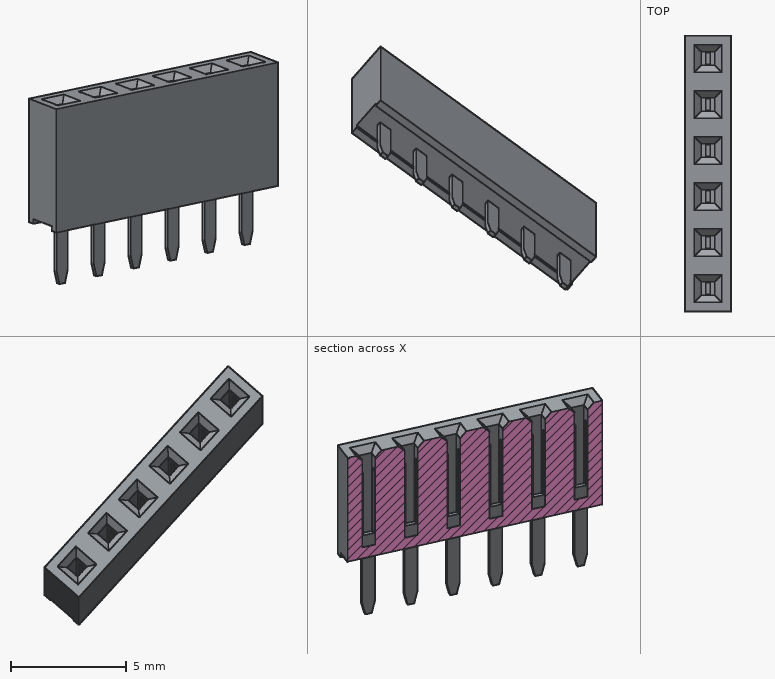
import cadquery as cq

contact_count = 6
housing_length = 12.0
housing_width = 2.0
housing_height = 5.6
pitch = housing_length / contact_count

foot_width = 0.34
channel_height = 0.22

socket_mouth = 1.2
socket_throat = 0.6
lead_in_depth = (socket_mouth - socket_throat) / 2
socket_depth = 4.8

contact_thickness = 0.19
contact_width = socket_throat
tail_tip_width = 0.3
tail_length = 2.7
tail_taper_length = 0.6
fork_gap = 0.5
fork_height = 3.84
fork_root_height = 0.6

channel_width = housing_width - 2 * foot_width
socket_floor = housing_height - socket_depth
fork_top = socket_floor + fork_height
fork_root = socket_floor + fork_root_height
contact_positions = [(i - (contact_count - 1) / 2) * pitch for i in range(contact_count)]


def make_housing():
    """Bar with the channel cut along its whole underside."""
    bar = cq.Workplane("XY").box(
        housing_width, housing_length, housing_height, centered=(True, True, False)
    )
    channel = cq.Workplane("XY").box(
        channel_width, housing_length, channel_height, centered=(True, True, False)
    )
    return bar.cut(channel)


def make_socket(y):
    """Volume removed for one socket: lead-in taper plus straight throat."""
    throat = (
        cq.Workplane("XY", origin=(0, y, socket_floor))
        .rect(socket_throat, socket_throat)
        .extrude(socket_depth)
    )
    lead_in = (
        cq.Workplane("XY", origin=(0, y, housing_height))
        .rect(socket_mouth, socket_mouth)
        .workplane(offset=-lead_in_depth)
        .rect(socket_throat, socket_throat)
        .loft(ruled=True)
    )
    return throat.union(lead_in)


def make_contact(y):
    """Flat contact from tail tip to fork arms, whose tops slope inward at 45 degrees."""
    half_width = contact_width / 2
    half_tip = tail_tip_width / 2
    half_gap = fork_gap / 2
    taper_start = tail_taper_length - tail_length
    slope_end = fork_top - (half_width - half_gap)
    return (
        cq.Workplane("YZ", origin=(0, y, 0))
        .polyline([
            (-half_tip, -tail_length),
            (half_tip, -tail_length),
            (half_width, taper_start),
            (half_width, fork_top),
            (half_gap, slope_end),
            (half_gap, fork_root),
            (-half_gap, fork_root),
            (-half_gap, slope_end),
            (-half_width, fork_top),
            (-half_width, taper_start),
        ])
        .close()
        .extrude(contact_thickness / 2, both=True)
    )


result = make_housing()
for contact_y in contact_positions:
    result = result.cut(make_socket(contact_y))
    result = result.union(make_contact(contact_y))